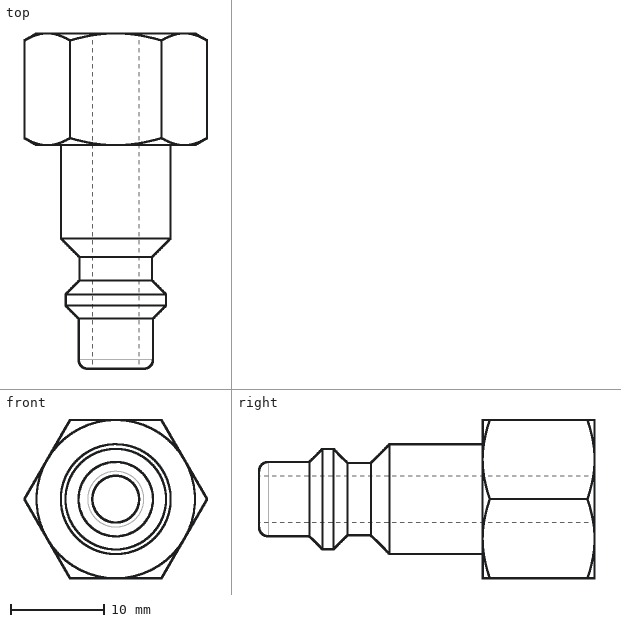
import cadquery as cq
import math

hex_sides = 6
hex_across_flats = 17.0
hex_length = 12.0
hex_chamfer_angle = 30.0

body_diameter = 11.8
neck_diameter = 7.8
collar_diameter = 10.8
tip_diameter = 8.0
bore_diameter = 5.0
tip_fillet = 1.0

body_length = 10.0
shoulder_length = (body_diameter - neck_diameter) / 2
neck_length = 2.5
collar_rise_length = (collar_diameter - neck_diameter) / 2
collar_length = 1.2
collar_fall_length = (collar_diameter - tip_diameter) / 2
total_length = 36.0

hex_across_corners = hex_across_flats / math.cos(math.pi / hex_sides)

body_end = hex_length + body_length
neck_start = body_end + shoulder_length
neck_end = neck_start + neck_length
collar_start = neck_end + collar_rise_length
collar_end = collar_start + collar_length
tip_start = collar_end + collar_fall_length


def revolve_profile(points):
    """Turn a closed outline of (radius, station) points about the Y axis."""
    outline = [(radius, -station) for radius, station in points]
    profile = cq.Workplane("XY").polyline(outline).close()
    return profile.revolve(360, (0, 0, 0), (0, 1, 0))


def make_head():
    """Hexagon with corners on the X axis, both ends chamfered by a cone."""
    prism = cq.Workplane("XZ").polygon(hex_sides, hex_across_corners).extrude(hex_length)
    face_radius = hex_across_flats / 2
    corner_radius = hex_across_corners / 2
    chamfer_depth = (corner_radius - face_radius) * math.tan(math.radians(hex_chamfer_angle))
    envelope = revolve_profile([
        (0, 0),
        (face_radius, 0),
        (corner_radius, chamfer_depth),
        (corner_radius, hex_length - chamfer_depth),
        (face_radius, hex_length),
        (0, hex_length),
    ])
    return prism.intersect(envelope)


def make_stem():
    """Body, neck, locking collar and rounded tip."""
    body_radius = body_diameter / 2
    neck_radius = neck_diameter / 2
    collar_radius = collar_diameter / 2
    tip_radius = tip_diameter / 2
    stem = revolve_profile([
        (0, hex_length),
        (body_radius, hex_length),
        (body_radius, body_end),
        (neck_radius, neck_start),
        (neck_radius, neck_end),
        (collar_radius, collar_start),
        (collar_radius, collar_end),
        (tip_radius, tip_start),
        (tip_radius, total_length),
        (0, total_length),
    ])
    return stem.faces("<Y").edges().fillet(tip_fillet)


def make_bore():
    """Straight passage through the whole part."""
    return cq.Workplane("XZ").circle(bore_diameter / 2).extrude(total_length)


result = make_head().union(make_stem()).cut(make_bore())